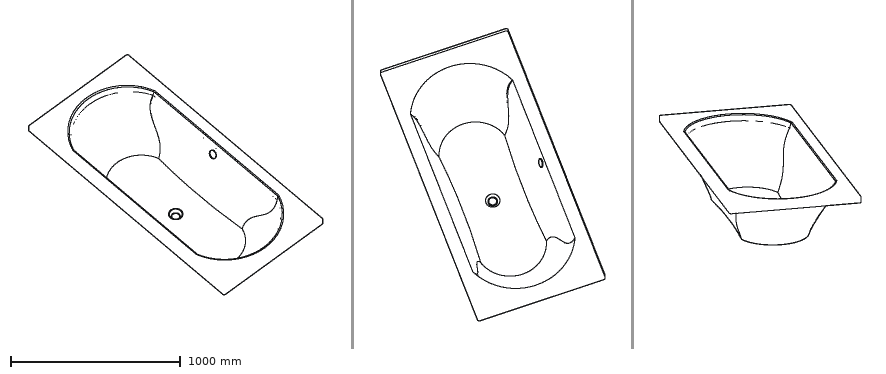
import cadquery as cq
import math

rim_length = 1700.0
rim_width = 800.0
rim_thickness = 37.0
rim_corner_radius = 12.0
rim_edge_radius = 2.0
lip_depth = 5.0
lip_width = 10.0

wall = 7.0
floor_thickness = 10.0
shell_depth = 379.0
floor_drop = 22.0
end_half_top = 772.0
end_half_bottom = 513.0

stations = [
    (0.0, 330.0, 535.0, 0.0),
    (104.0, 294.0, 532.0, 0.0),
    (165.0, 274.0, 496.0, 0.0),
    (236.0, 255.0, 428.0, 2.0),
    (298.0, 235.0, 380.0, 7.0),
    (shell_depth, 205.0, 362.0, 15.0),
]

drain_radius = 42.0
drain_bore_radius = 24.0
drain_foot_radius = 29.0
drain_mouth_radius = 37.0
drain_bottom = -415.0
drain_throat_height = 5.0

overflow_diameter = 53.0
overflow_y = 300.0
overflow_z = -82.0
overflow_tilt = 19.0
overflow_cut_length = 68.0


def side_edge(start, middle, end):
    """Side of an outline: straight, or an arc when its middle is bowed."""
    if math.isclose(start.y, middle.y):
        return cq.Edge.makeLine(start, end)
    return cq.Edge.makeThreePointArc(start, middle, end)


def outline(z, half_length, half_width, panel_half, bow):
    """Closed outline of two long sides and two round ends split at the X axis."""
    rise = half_length - panel_half
    radius = (rise ** 2 + half_width ** 2) / (2 * rise)
    centre = half_length - radius
    half_angle = math.atan2(half_width, panel_half - centre) / 2
    mid_x = centre + radius * math.cos(half_angle)
    mid_y = radius * math.sin(half_angle)

    def end_edge(start, sx, sy, end):
        return cq.Edge.makeThreePointArc(start, cq.Vector(sx * mid_x, sy * mid_y, z), end)

    right = cq.Vector(half_length, 0, z)
    left = cq.Vector(-half_length, 0, z)
    back_right = cq.Vector(panel_half, half_width, z)
    back_left = cq.Vector(-panel_half, half_width, z)
    front_left = cq.Vector(-panel_half, -half_width, z)
    front_right = cq.Vector(panel_half, -half_width, z)
    back_middle = cq.Vector(0, half_width - bow, z)
    front_middle = cq.Vector(0, bow - half_width, z)
    return cq.Wire.assembleEdges([
        end_edge(right, 1, 1, back_right),
        side_edge(back_right, back_middle, back_left),
        end_edge(back_left, -1, 1, left),
        end_edge(left, -1, -1, front_left),
        side_edge(front_left, front_middle, front_right),
        end_edge(front_right, 1, -1, right),
    ])


def tub_volume(inset, bottom_raise):
    """Solid filling the tub: smooth walls closed by a floor falling to the drain."""
    depth_ratio = (shell_depth - bottom_raise) / shell_depth
    sections = []
    for depth, half_width, panel_half, bow in stations:
        half_length = end_half_top - (end_half_top - end_half_bottom) * depth / shell_depth
        sections.append(
            outline(-depth * depth_ratio, half_length - inset, half_width - inset, panel_half, bow)
        )
    walls = cq.Solid.makeLoft(sections)

    drain_z = bottom_raise - shell_depth - floor_drop
    _, edge_y, edge_x, _ = stations[-1]
    corner_angle = math.atan2(edge_y, edge_x)
    drain_edge = outline(
        drain_z,
        drain_radius,
        drain_radius * math.sin(corner_angle),
        drain_radius * math.cos(corner_angle),
        drain_radius * (math.sin(corner_angle) - 1),
    )
    floor = cq.Solid.makeLoft([sections[-1], drain_edge], True)
    return cq.Workplane(walls).union(cq.Workplane(floor))


def make_rim():
    return (
        cq.Workplane("XY")
        .box(rim_length, rim_width, rim_thickness, centered=(True, True, False))
        .translate((0, 0, -rim_thickness))
        .edges("|Z").fillet(rim_corner_radius)
        .faces(">Z").edges().fillet(rim_edge_radius)
    )


def make_overflow_cutter():
    tilt = math.radians(overflow_tilt)
    axis = cq.Vector(0, math.cos(tilt), -math.sin(tilt))
    middle = cq.Vector(0, overflow_y, overflow_z)
    start = middle - axis * (overflow_cut_length / 2)
    return cq.Workplane(
        cq.Solid.makeCylinder(overflow_diameter / 2, overflow_cut_length, start, axis)
    )


def make_lip_cutter():
    """Bevel that widens the mouth of the tub to the outer wall line at Z = 0."""
    _, half_width, panel_half, bow = stations[0]
    mouth = outline(0, end_half_top, half_width, panel_half, bow)
    throat = outline(
        -lip_depth, end_half_top - lip_width, half_width - lip_width, panel_half, bow
    )
    return cq.Workplane(cq.Solid.makeLoft([mouth, throat], True))


def make_tub():
    body = make_rim().union(tub_volume(0, 0))
    body = body.cut(tub_volume(wall, floor_thickness)).cut(make_lip_cutter())
    drain_hole = (
        cq.Workplane("XY", origin=(0, 0, drain_bottom))
        .circle(drain_radius).extrude(shell_depth / 2)
    )
    return body.cut(drain_hole).cut(make_overflow_cutter())


def make_drain():
    """Funnel ring filling the hole in the floor."""
    underside = -shell_depth - floor_drop
    top = underside + floor_thickness
    return (
        cq.Workplane("XZ")
        .moveTo(drain_radius, top)
        .lineTo(drain_radius, underside)
        .lineTo(drain_foot_radius, drain_bottom)
        .lineTo(drain_bore_radius, drain_bottom)
        .lineTo(drain_bore_radius, drain_bottom + drain_throat_height)
        .lineTo(drain_mouth_radius, top)
        .close()
        .revolve(360, (0, 0), (0, 1))
    )


tub = make_tub()
drain = make_drain()
result = cq.Compound.makeCompound([tub.val(), drain.val()])